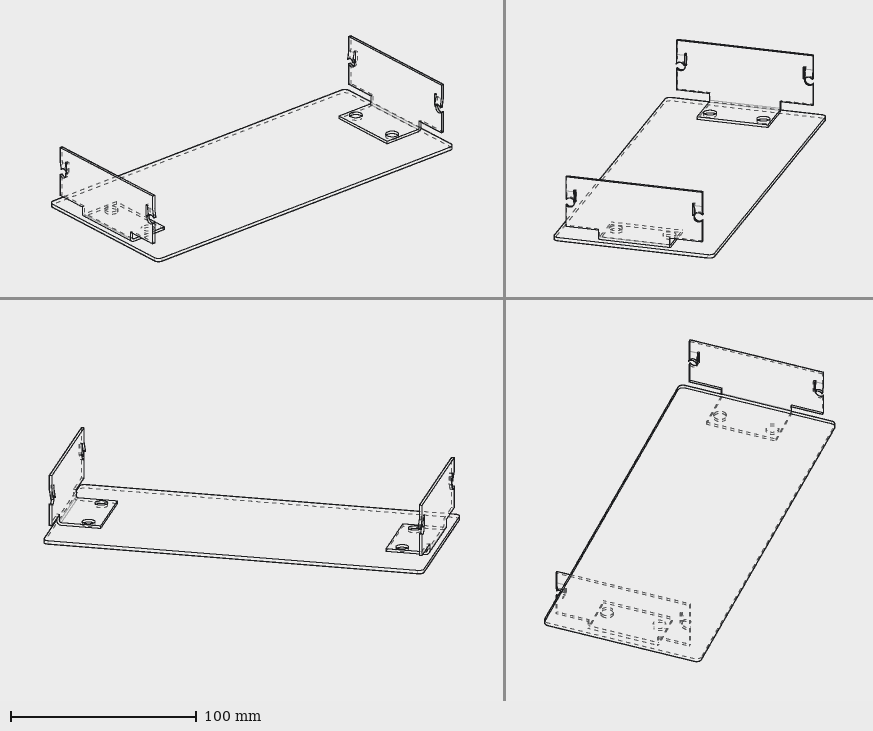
import cadquery as cq
import math

plate_width = 90.0
plate_length = 210.0
plate_thickness = 2.0
plate_corner_radius = 3.0

overall_height = 37.0
sheet_thickness = 1.5
bend_inner_radius = 0.8
bend_outer_radius = bend_inner_radius + sheet_thickness
panel_inset = 2.0

panel_width = 76.6
panel_bottom = 8.2
foot_width = 40.0
foot_length = 24.2

hole_diameter = 7.0
hole_spacing = 30.0
hole_from_panel = 16.4

notch_radius = 2.5
notch_from_edge = 2.0
notch_from_top = 15.0
slot_width = 1.0
tab_width = 4.5
slot_from_top = 7.4
tab_bend_from_top = 8.2
tab_offset = 1.0

outer_face_y = -plate_length / 2 + panel_inset
inner_face_y = outer_face_y + sheet_thickness
notch_z = overall_height - notch_from_top
tab_bend_z = overall_height - tab_bend_from_top


def box_between(x_range, y_range, z_range):
    """Axis-aligned box spanning the three (low, high) ranges."""
    low, high = zip(x_range, y_range, z_range)
    size = [b - a for a, b in zip(low, high)]
    return cq.Workplane("XY").box(*size, centered=False).translate(low)


def make_base_plate():
    plate = cq.Workplane("XY").box(plate_width, plate_length, plate_thickness, centered=(True, True, False))
    return plate.edges("|Z").fillet(plate_corner_radius)


def make_bent_sheet():
    """L-shaped foot and neck, extended upward by the wider panel."""
    foot_top = plate_thickness + sheet_thickness
    foot_end_y = outer_face_y + foot_length
    outer_bend_y = outer_face_y + bend_outer_radius
    outer_bend_z = plate_thickness + bend_outer_radius
    profile = (
        cq.Workplane("YZ")
        .moveTo(foot_end_y, plate_thickness)
        .lineTo(outer_bend_y, plate_thickness)
        .radiusArc((outer_face_y, outer_bend_z), bend_outer_radius)
        .lineTo(outer_face_y, overall_height)
        .lineTo(inner_face_y, overall_height)
        .lineTo(inner_face_y, outer_bend_z)
        .radiusArc((outer_bend_y, foot_top), -bend_inner_radius)
        .lineTo(foot_end_y, foot_top)
        .close()
    )
    foot = profile.extrude(foot_width / 2, both=True)
    panel = box_between(
        (-panel_width / 2, panel_width / 2),
        (outer_face_y, inner_face_y),
        (panel_bottom, overall_height),
    )
    return foot.union(panel)


def make_screw_holes():
    hole_y = outer_face_y + hole_from_panel
    return (
        cq.Workplane("XY", origin=(0, hole_y, plate_thickness))
        .pushPoints([(-hole_spacing / 2, 0), (hole_spacing / 2, 0)])
        .circle(hole_diameter / 2)
        .extrude(sheet_thickness)
    )


def make_notch(side):
    """Round cutter that breaks through the panel's side edge and clears the leaning tab."""
    notch_x = side * (panel_width / 2 - notch_from_edge)
    depth = sheet_thickness + tab_offset
    return (
        cq.Workplane("XZ", origin=(notch_x, outer_face_y, notch_z))
        .circle(notch_radius)
        .extrude(-depth)
    )


def make_tab_opening(side):
    """Cutter for the slot beside the tab together with the flat sheet the tab was bent from."""
    edge_x = side * panel_width / 2
    tab_x = edge_x - side * tab_width
    slot_x = tab_x - side * slot_width
    y_range = (outer_face_y, inner_face_y)
    slot_bottom = notch_z + math.sqrt(notch_radius**2 - (tab_width - notch_from_edge) ** 2)
    slot_top = overall_height - slot_from_top
    slot = box_between(sorted((slot_x, tab_x)), y_range, (slot_bottom, slot_top))
    blank = box_between(sorted((tab_x, edge_x)), y_range, (notch_z, tab_bend_z))
    return slot.union(blank)


def make_tab(side):
    """Strip hinged at the bend line, leaning inward toward the notch."""
    edge_x = side * panel_width / 2
    tab_x = edge_x - side * tab_width
    return (
        cq.Workplane("YZ", origin=(min(edge_x, tab_x), 0, 0))
        .moveTo(outer_face_y, tab_bend_z)
        .lineTo(inner_face_y, tab_bend_z)
        .lineTo(inner_face_y + tab_offset, notch_z)
        .lineTo(outer_face_y + tab_offset, notch_z)
        .close()
        .extrude(tab_width)
    )


def make_bracket():
    """Bracket at the -Y end of the plate."""
    bracket = make_bent_sheet().cut(make_screw_holes())
    for side in (-1, 1):
        bracket = bracket.cut(make_tab_opening(side)).union(make_tab(side)).cut(make_notch(side))
    return bracket


base_plate = make_base_plate()
brackets = [make_bracket().rotate((0, 0, 0), (0, 0, 1), angle) for angle in (0, 180)]

result = cq.Compound.makeCompound([base_plate.val(), *[bracket.val() for bracket in brackets]])